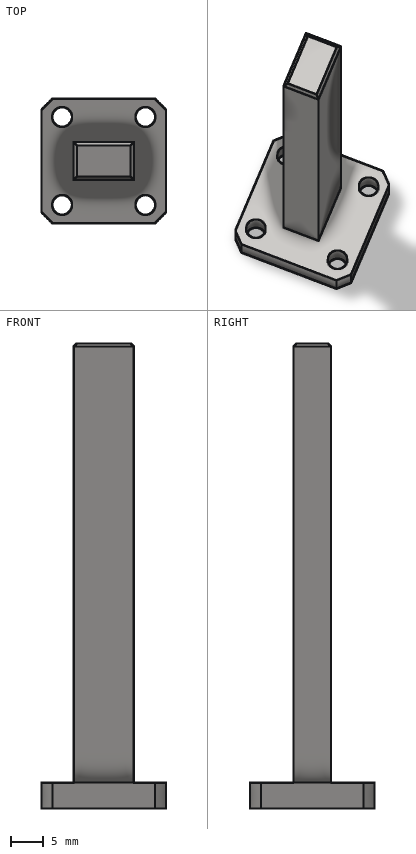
import cadquery as cq

total_height = 71.1
flange_side = 19.05
flange_thickness = 4.0
flange_corner_chamfer = 1.7

bar_width = 9.25
bar_depth = 5.75
bar_height = total_height - flange_thickness
bar_tip_chamfer = 0.5

hole_diameter = 3.0
hole_spacing_x = 12.7
hole_spacing_y = 13.45


def make_flange():
    """Square plate with chamfered corners and four through holes."""
    plate = (
        cq.Workplane("XY")
        .rect(flange_side, flange_side)
        .extrude(flange_thickness)
        .edges("|Z")
        .chamfer(flange_corner_chamfer)
    )
    return (
        plate.faces(">Z")
        .workplane()
        .rect(hole_spacing_x, hole_spacing_y, forConstruction=True)
        .vertices()
        .hole(hole_diameter)
    )


def make_bar():
    """Upright bar with a small chamfer around its free end."""
    return (
        cq.Workplane("XY")
        .workplane(offset=flange_thickness)
        .rect(bar_width, bar_depth)
        .extrude(bar_height)
        .faces(">Z")
        .edges()
        .chamfer(bar_tip_chamfer)
    )


result = make_flange().union(make_bar())